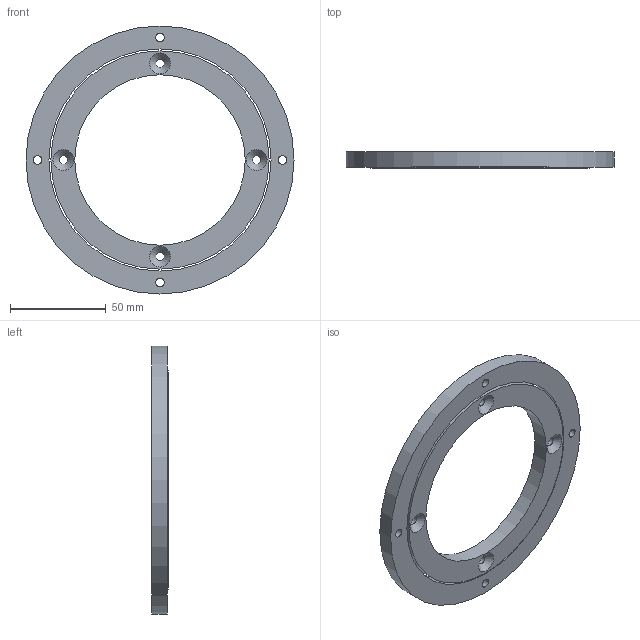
import cadquery as cq

screws_per_ring = 4
screw_hole_diameter = 4.5

outer_ring_diameter = 140.0
outer_ring_bore = 116.0
outer_ring_thickness = 8.0

radial_gap = 1.0
front_step = 0.5
inner_ring_diameter = outer_ring_bore - 2 * radial_gap
inner_ring_bore = 89.0
inner_ring_thickness = outer_ring_thickness + front_step
countersink_diameter = 10.9
countersink_angle = 90.0

outer_screw_circle = (outer_ring_diameter + outer_ring_bore) / 2
inner_screw_circle = 101.0


def plain_ring(diameter, bore, thickness):
    """Flat ring around the Y axis, from the back plane toward -Y."""
    return cq.Workplane("XZ").circle(diameter / 2).circle(bore / 2).extrude(thickness)


def screw_positions(ring, circle_diameter):
    """Evenly spaced screw centres on the front face of a ring."""
    front = ring.faces("<Y").workplane(origin=(0, 0, 0))
    return front.polarArray(circle_diameter / 2, 0, 360, screws_per_ring)


def make_outer_ring():
    ring = plain_ring(outer_ring_diameter, outer_ring_bore, outer_ring_thickness)
    return screw_positions(ring, outer_screw_circle).hole(screw_hole_diameter)


def make_inner_ring():
    ring = plain_ring(inner_ring_diameter, inner_ring_bore, inner_ring_thickness)
    return screw_positions(ring, inner_screw_circle).cskHole(
        screw_hole_diameter, countersink_diameter, countersink_angle
    )


outer_ring = make_outer_ring()
inner_ring = make_inner_ring()

result = cq.Compound.makeCompound([outer_ring.val(), inner_ring.val()])